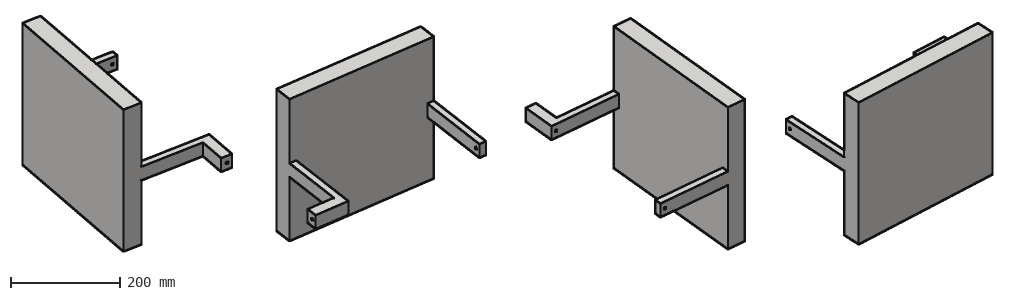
import cadquery as cq

plate_width = 330.0
plate_thickness = 40.0
plate_height = 320.0

overall_width = 389.8
overall_depth = 200.0
arm_thickness = 15.2
arm_height = 31.0
tab_thickness = 24.0

hole_diameter = 5.0
hole_end_distance = 11.0


def block(x_start, x_end, y_start, y_end, height):
    """Box between the given X and Y limits, centred on Z = 0."""
    return cq.Workplane("XY").box(
        x_end - x_start, y_end - y_start, height, centered=(False, False, True)
    ).translate((x_start, y_start, 0))


plate = block(0, plate_width, 0, plate_thickness, plate_height)
left_arm = block(0, arm_thickness, plate_thickness, overall_depth, arm_height)
right_arm_start = plate_width - arm_thickness
right_arm = block(right_arm_start, plate_width, plate_thickness, overall_depth, arm_height)
tab = block(right_arm_start, overall_width, overall_depth - tab_thickness, overall_depth, arm_height)

hole = (
    cq.Workplane("YZ")
    .center(overall_depth - hole_end_distance, 0)
    .circle(hole_diameter / 2)
    .extrude(overall_width)
)

result = plate.union(left_arm).union(right_arm).union(tab).cut(hole)